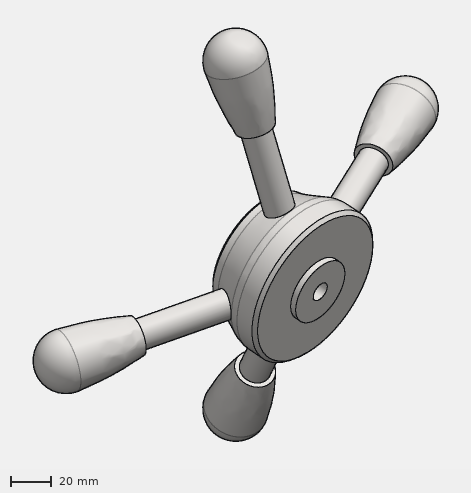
import cadquery as cq
import math

OVERALL_LENGTH = 73.59
OVERALL_SPAN = 273.89

BOSS_DIAMETER = 35.0
BOSS_LENGTH = 3.4
HUB_DIAMETER = 86.0
HUB_FACE_DIAMETER = 69.0
HUB_LENGTH = 38.1
CONE_REAR_OFFSET = 14.6
CONE_LENGTH = 19.8
CONE_BLEND_RADIUS = 12.0
FACE_CHAMFER = 1.5
REAR_RIM_CHAMFER = 2.0
BORE_DIAMETER = 10.0
RECESS_MOUTH_DIAMETER = 39.0
RECESS_FLOOR_DIAMETER = 35.0
RECESS_DEPTH = 3.5

SPOKE_COUNT = 4
SPOKE_LEAN = 19.8
SPOKE_DIAMETER = 16.0
SPOKE_ROOT_DISTANCE = 30.0
KNOB_RADIUS = 16.25
KNOB_BASE_RADIUS = 10.4
KNOB_TAPER_LENGTH = 38.8
KNOB_BULGE = 1.0

HUB_REAR_X = -BOSS_LENGTH
HUB_FACE_X = HUB_REAR_X - HUB_LENGTH
CONE_REAR_X = HUB_REAR_X - CONE_REAR_OFFSET
CONE_FRONT_X = CONE_REAR_X - CONE_LENGTH
CONE_EDGE_MARGIN = 1.0
BALL_X = KNOB_RADIUS - OVERALL_LENGTH
BALL_OFFSET = OVERALL_SPAN / 2 - KNOB_RADIUS
SPOKE_ORIGIN_X = BALL_X + BALL_OFFSET * math.tan(math.radians(SPOKE_LEAN))
BALL_DISTANCE = BALL_OFFSET / math.cos(math.radians(SPOKE_LEAN))


def make_hub():
    """Turned hub: cylinder, blended cone and chamfered outer edges, plus the rear boss."""
    hub_radius = HUB_DIAMETER / 2
    face_radius = HUB_FACE_DIAMETER / 2
    hub = (
        cq.Workplane("XY")
        .moveTo(HUB_REAR_X, 0)
        .lineTo(HUB_REAR_X, hub_radius)
        .lineTo(CONE_REAR_X, hub_radius)
        .lineTo(CONE_FRONT_X, face_radius)
        .lineTo(HUB_FACE_X, face_radius)
        .lineTo(HUB_FACE_X, 0)
        .close()
        .revolve(360, (0, 0, 0), (1, 0, 0))
    )
    circles = hub.edges("%CIRCLE")
    search_start = CONE_FRONT_X - CONE_EDGE_MARGIN
    search_end = CONE_REAR_X + CONE_EDGE_MARGIN
    cone_edges = circles.filter(lambda edge: search_start < edge.Center().x < search_end)
    hub = cone_edges.fillet(CONE_BLEND_RADIUS)
    hub = hub.faces("<X").edges().chamfer(FACE_CHAMFER)
    hub = hub.faces(">X").edges().chamfer(REAR_RIM_CHAMFER)
    boss = cq.Workplane("YZ").workplane(offset=HUB_REAR_X).circle(BOSS_DIAMETER / 2).extrude(BOSS_LENGTH)
    return hub.union(boss)


def make_recess():
    """Tapered round pocket in the hub's front face."""
    return (
        cq.Workplane("YZ")
        .workplane(offset=HUB_FACE_X)
        .circle(RECESS_MOUTH_DIAMETER / 2)
        .workplane(offset=RECESS_DEPTH)
        .circle(RECESS_FLOOR_DIAMETER / 2)
        .loft(ruled=True)
    )


def make_bore():
    """Plain hole through the whole hub on the X axis."""
    return cq.Workplane("YZ").circle(BORE_DIAMETER / 2).extrude(HUB_FACE_X)


def make_spoke():
    """Rod and ball-ended knob along +Z, leaned toward -X and set at its place along the X axis."""
    rod = (
        cq.Workplane("XY")
        .workplane(offset=SPOKE_ROOT_DISTANCE)
        .circle(SPOKE_DIAMETER / 2)
        .extrude(BALL_DISTANCE - SPOKE_ROOT_DISTANCE)
    )
    base_z = BALL_DISTANCE - KNOB_TAPER_LENGTH
    narrowing = KNOB_RADIUS - KNOB_BASE_RADIUS
    chord = math.hypot(narrowing, KNOB_TAPER_LENGTH)
    flank_middle = (
        (KNOB_RADIUS + KNOB_BASE_RADIUS) / 2 + KNOB_BULGE * KNOB_TAPER_LENGTH / chord,
        BALL_DISTANCE - KNOB_TAPER_LENGTH / 2 - KNOB_BULGE * narrowing / chord,
    )
    diagonal = KNOB_RADIUS * math.sqrt(0.5)
    knob = (
        cq.Workplane("XZ")
        .moveTo(0, base_z)
        .lineTo(KNOB_BASE_RADIUS, base_z)
        .threePointArc(flank_middle, (KNOB_RADIUS, BALL_DISTANCE))
        .threePointArc((diagonal, BALL_DISTANCE + diagonal), (0, BALL_DISTANCE + KNOB_RADIUS))
        .close()
        .revolve(360, (0, 0, 0), (0, 1, 0))
    )
    spoke = rod.union(knob)
    return spoke.rotate((0, 0, 0), (0, 1, 0), -SPOKE_LEAN).translate((SPOKE_ORIGIN_X, 0, 0))


spoke = make_spoke()
wheel = make_hub()
for index in range(SPOKE_COUNT):
    wheel = wheel.union(spoke.rotate((0, 0, 0), (1, 0, 0), index * 360 / SPOKE_COUNT))

result = wheel.cut(make_recess()).cut(make_bore())